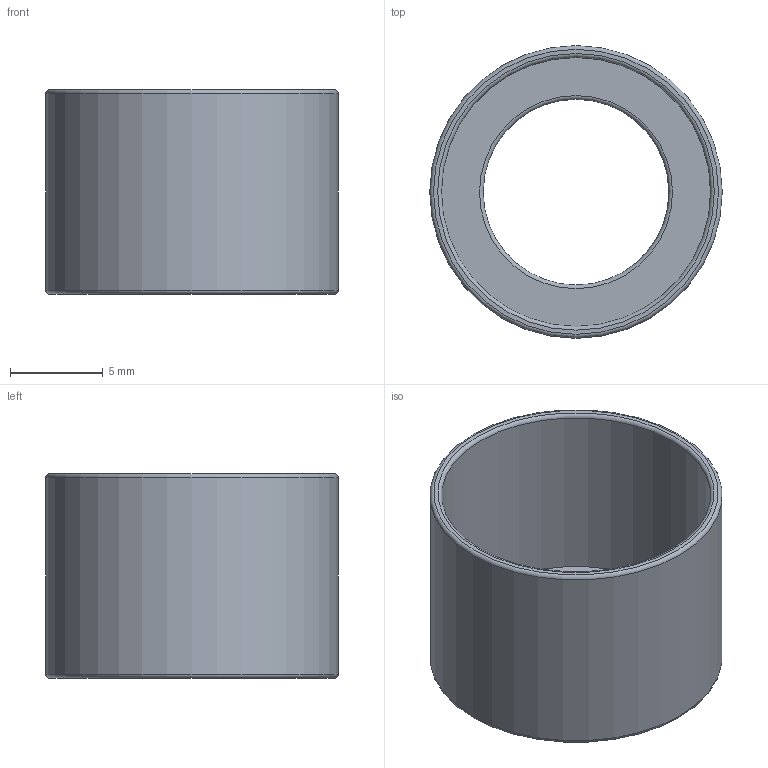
import cadquery as cq

outer_diameter = 15.75
height = 11.0
cavity_diameter = 14.5
hole_diameter = 10.0
floor_thickness = 1.0
edge_radius = 0.2

outer_radius = outer_diameter / 2
cavity_radius = cavity_diameter / 2
hole_radius = hole_diameter / 2


def make_cup():
    """Revolve the wall-and-floor section, drawn on the -X side, about the Z axis."""
    section = (
        cq.Workplane("XZ")
        .moveTo(-outer_radius, 0)
        .lineTo(-outer_radius, height)
        .lineTo(-cavity_radius, height)
        .lineTo(-cavity_radius, floor_thickness)
        .lineTo(-hole_radius, floor_thickness)
        .lineTo(-hole_radius, 0)
        .close()
    )
    return section.revolve(360, (0, 0, 0), (0, 1, 0))


def round_edge(body, radius, z):
    """Round the circular edge of the given radius at height z."""
    margin = edge_radius / 4
    reach = radius + margin
    around_edge = cq.selectors.BoxSelector(
        (-reach, -reach, z - margin), (reach, reach, z + margin), boundingbox=True
    )
    return body.edges(around_edge).edges(cq.selectors.RadiusNthSelector(-1)).fillet(edge_radius)


rounded_rims = [
    (outer_radius, 0),
    (outer_radius, height),
    (cavity_radius, height),
    (hole_radius, floor_thickness),
]

result = make_cup()
for rim_radius, rim_height in rounded_rims:
    result = round_edge(result, rim_radius, rim_height)